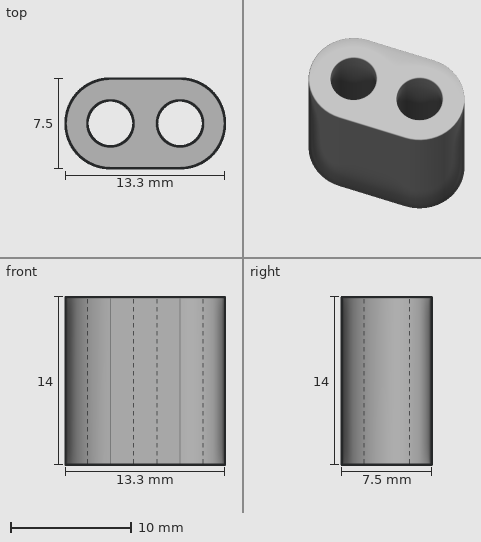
import cadquery as cq

length = 13.3
width = 7.5
height = 14.0

hole_diameter = 3.81
hole_spacing = length - width

edge_radius = 0.1

body = cq.Workplane("XY").slot2D(length, width).extrude(height)

hole_centers = [(-hole_spacing / 2, 0), (hole_spacing / 2, 0)]
body = body.faces(">Z").workplane().pushPoints(hole_centers).hole(hole_diameter)

result = body.faces("<Z or >Z").edges().fillet(edge_radius)